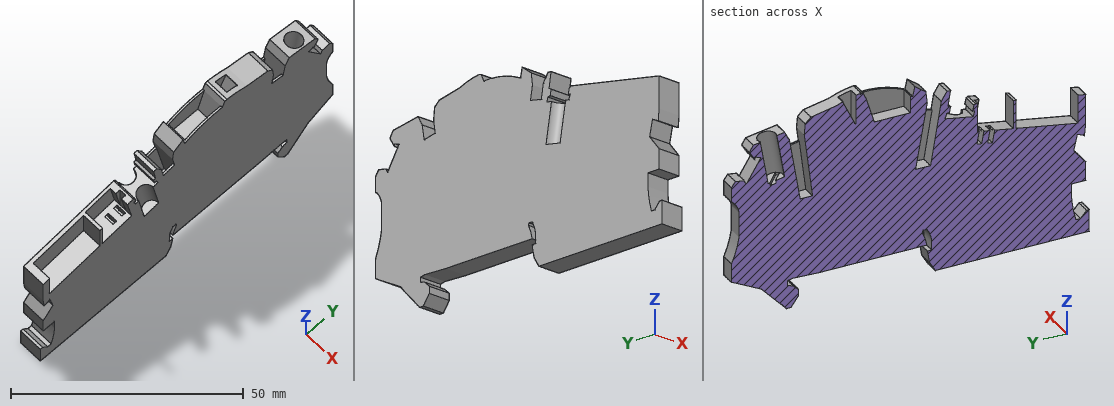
import cadquery as cq
import math

thickness = 6.15
length = 86.6
height = 48.75
marker_face_y = 0.9
tilt = math.radians(10)
overshoot = 4.3

clip_base = (71.9, 38.1)
clip_shoulder = (72.5, 41.65)
cap_notch_rear = (68.6, 38.7)
cap_flank_rear = (69.0, 42.1)
cap_notch_front = (39.75, 38.7)
cap_flank_front = (39.1, 42.1)
latch_base = (36.45, 38.1)
latch_shoulder = (35.85, 41.65)
key_crest = (55.25, height)
key_edge = (54.6, 48.6)
key_foot = (53.9, 46.85)
window_end = (42.8, 44.7)
deck_rear = (27.5, 38.9)
deck_front = (marker_face_y, 34.2)

entry_wall = 0.5
entry_depth = 11.7

window_wall = 0.5
window_depth = 6.1
window_wall_run = 1.9
window_end_lip = 0.5

test_hole_rear_y = 59.6
test_hole_front_y = 56.45
test_hole_width = 3.55
test_hole_center_x = 3.0
test_hole_top_z = 47.6
test_hole_depth = 6.4

screw_radius = 2.2
clip_screw_x = 3.5
clip_screw_y = 77.6
clip_screw_z = 43.3
clip_screw_depth = 10.9
screw_slot_width = 0.95
screw_slot_depth = 0.7
screw_slot_angle = -45
side_screw_y = 31.3
side_screw_z = 36.4
side_screw_depth = 9.5

marker_depth = 6.9
label_pocket = {"rear_y": 25.8, "front_y": 18.45, "wall": 0.8, "rear_lean": tilt}
long_pocket = {"rear_y": 17.7, "front_y": 2.8, "wall": 1.0, "rear_lean": 0}

groove_rear_y = 27.0
groove_width = 1.7
slot_length = 2.6
slot_width = 1.0
slot_places_y = (23.5, 26.1)
slot_depth = 3.0
label_center_x = 3.4


def extrude_x(profile, x_start, x_end):
    """Extrude a closed list of (Y, Z) points from x_start to x_end."""
    sketch = cq.Workplane("YZ", origin=(x_start, 0, 0)).polyline(profile).close()
    return sketch.extrude(x_end - x_start)


def deck_z(y):
    """Height of the sloping marker deck at a given Y."""
    rise = (deck_rear[1] - deck_front[1]) / (deck_rear[0] - deck_front[0])
    return deck_front[1] + rise * (y - deck_front[0])


def y_along(upper, lower, z):
    """Y at height z on the straight line through two (Y, Z) points."""
    return lower[0] + (lower[0] - upper[0]) * (z - lower[1]) / (lower[1] - upper[1])


def leaning_frame(x, y, z, lean):
    """Work plane at a point, facing up and leaning toward +Y by lean radians."""
    normal = (0, math.sin(lean), math.cos(lean))
    return cq.Workplane(cq.Plane(origin=(x, y, z), xDir=(1, 0, 0), normal=normal))


def shaft(x, y, z, depth, lean):
    """Round cutter that sinks below a point along a leaning axis."""
    frame = leaning_frame(x, y, z, lean).workplane(offset=-depth)
    return frame.circle(screw_radius).extrude(depth + overshoot / 2)


def body():
    """Plate with the complete outline, drawn from the clip end over the top and back underneath."""
    outline = cq.Workplane("YZ").moveTo(length, 33.5)
    for point in [(85.6, 34.8), (83.5, 34.5), (82.95, 33.5), (79.5, 39.05), (80.8, 39.5), (80.9, 38.9),
                  (82.3, 41.1), (81.3, 42.7), (73.7, 43.9), clip_shoulder, clip_base]:
        outline = outline.lineTo(*point)
    for point in [cap_notch_rear, cap_flank_rear, (68.75, 44.7), (67.4, 46.0), (61.2, 47.2)]:
        outline = outline.lineTo(*point)
    outline = outline.threePointArc((57.75, 48.3), key_crest)
    outline = outline.lineTo(*key_edge).lineTo(*key_foot)
    outline = outline.threePointArc((48.2, 46.5), window_end)
    for point in [(42.25, 47.0), (39.5, 44.9), cap_flank_front, cap_notch_front]:
        outline = outline.lineTo(*point)
    for point in [latch_base, latch_shoulder, (34.5, 43.8), (33.5, 43.7), (34.1, 40.0), (33.5, 39.7),
                  (33.8, 38.3), (34.5, 38.1), (34.8, 37.1), (28.1, 35.85), (27.8, 37.1), (28.3, 37.15),
                  (28.0, 38.6), deck_rear, deck_front]:
        outline = outline.lineTo(*point)
    for point in [(marker_face_y, 26.7), (1.1, 24.0), (2.9, 24.8), (3.7, 20.95), (marker_face_y, 17.5),
                  (marker_face_y, 12.8), (4.2, 12.8), (4.2, 9.6)]:
        outline = outline.lineTo(*point)
    outline = outline.threePointArc((3.9, 6.75), (3.2, 3.8))
    for point in [(2.2, 3.8), (0.7, 5.45), (0, 5.45), (0, 0)]:
        outline = outline.lineTo(*point)
    outline = outline.lineTo(37.2, 0).lineTo(38.7, 2.4).lineTo(39.2, 5.45).lineTo(38.2, 5.45)
    outline = outline.lineTo(38.2, 6.8).threePointArc((38.6, 9.4), (39.3, 10.7))
    outline = outline.lineTo(40.2, 10.7).lineTo(40.35, 10.2).lineTo(39.7, 8.6).lineTo(39.2, 6.8)
    for point in [(65.4, 6.8), (71.7, 7.1), (73.0, 6.8), (73.0, 5.7), (71.7, 5.4), (70.3, 4.1),
                  (70.3, 2.4), (72.1, 0), (73.25, 0), (79.3, 6.4), (length, 10.05), (length, 14.6)]:
        outline = outline.lineTo(*point)
    outline = outline.threePointArc((85.5, 17.7), (84.8, 20.8)).lineTo(84.8, 26.8)
    outline = outline.threePointArc((85.4, 28.6), (length, 29.9))
    return outline.close().extrude(thickness)


def wire_entry(base, shoulder, cap_corner, cap_flank):
    """Entry below a notch; its two walls continue the flanks of the notch downward."""
    floor_z = base[1] - entry_depth
    profile = [
        base,
        (y_along(shoulder, base, floor_z), floor_z),
        (y_along(cap_flank, cap_corner, floor_z), floor_z),
        cap_corner,
    ]
    return extrude_x(profile, entry_wall, thickness - entry_wall)


def arch_window():
    """Window behind the key; its rear wall slopes down from the foot of the key."""
    floor_z = key_foot[1] - window_depth
    front_y = window_end[0] + window_end_lip
    profile = [
        (key_foot[0], height),
        key_foot,
        (key_foot[0] - window_wall_run, floor_z),
        (front_y, floor_z),
        (front_y, height),
    ]
    return extrude_x(profile, window_wall, thickness - window_wall)


def test_hole():
    """Square hole whose floor slopes down from its rear edge to its upright front wall."""
    profile = [
        (test_hole_rear_y, height),
        (test_hole_rear_y, test_hole_top_z),
        (test_hole_front_y, test_hole_top_z - test_hole_depth),
        (test_hole_front_y, height),
    ]
    half_width = test_hole_width / 2
    return extrude_x(profile, test_hole_center_x - half_width, test_hole_center_x + half_width)


def clip_screw():
    """Screw shaft in the clip, with a diagonal driver slot across its floor."""
    hole = shaft(clip_screw_x, clip_screw_y, clip_screw_z, clip_screw_depth, tilt)
    frame = leaning_frame(clip_screw_x, clip_screw_y, clip_screw_z, tilt)
    floor = frame.workplane(offset=-clip_screw_depth)
    blade = floor.transformed(rotate=(0, 0, screw_slot_angle)).rect(2 * screw_radius, screw_slot_width)
    return hole.union(blade.extrude(-screw_slot_depth))


def marker_pocket(rear_y, front_y, wall, rear_lean):
    """Pocket with a floor parallel to the deck; its rear wall may be undercut by rear_lean radians."""
    undercut_y = rear_y + marker_depth * math.tan(rear_lean)
    profile = [
        (rear_y, deck_z(rear_y) + overshoot),
        (rear_y, deck_z(rear_y)),
        (undercut_y, deck_z(undercut_y) - marker_depth),
        (front_y, deck_z(front_y) - marker_depth),
        (front_y, deck_z(front_y) + overshoot),
    ]
    return extrude_x(profile, wall, thickness + overshoot)


def label_groove():
    """Upright groove in the rear wall of the label pocket."""
    front_y = label_pocket["rear_y"]
    profile = [
        (groove_rear_y, deck_z(groove_rear_y) + overshoot),
        (groove_rear_y, deck_z(groove_rear_y) - marker_depth),
        (front_y, deck_z(front_y) - marker_depth),
        (front_y, deck_z(front_y) + overshoot),
    ]
    return extrude_x(profile, label_center_x - groove_width / 2, label_center_x + groove_width / 2)


def label_slot(slot_y):
    """Narrow slot sunk square to the label pocket floor."""
    frame = leaning_frame(label_center_x, slot_y, deck_z(slot_y) - marker_depth, -tilt)
    return frame.rect(slot_length, slot_width).extrude(-slot_depth)


result = body()
result = result.cut(wire_entry(clip_base, clip_shoulder, cap_notch_rear, cap_flank_rear))
result = result.cut(wire_entry(latch_base, latch_shoulder, cap_notch_front, cap_flank_front))
result = result.cut(arch_window())
result = result.cut(test_hole())
result = result.cut(clip_screw())
for side_x in (0, thickness):
    result = result.cut(shaft(side_x, side_screw_y, side_screw_z, side_screw_depth, -tilt))
for pocket in (label_pocket, long_pocket):
    result = result.cut(marker_pocket(**pocket))
result = result.cut(label_groove())
for slot_y in slot_places_y:
    result = result.cut(label_slot(slot_y))